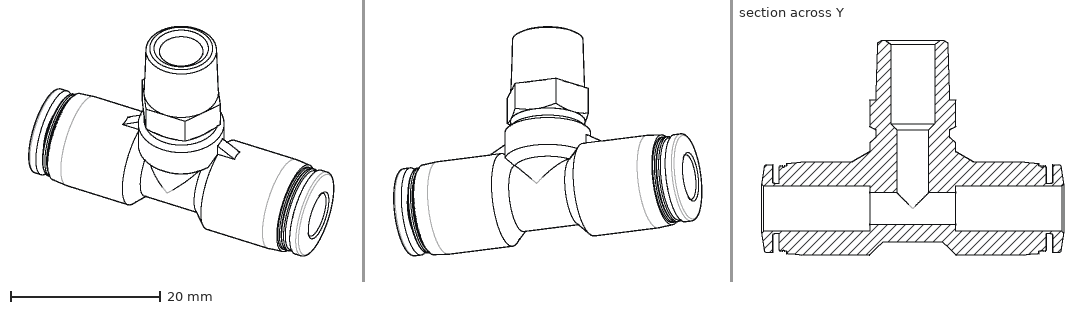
import cadquery as cq
import math

half_length = 20.25
core_radius = 4.5
core_half_length = 3.95
body_diameter = 12.5
body_radius = body_diameter / 2
body_inner_x = 5.8
body_taper_x = 14.85
body_end_x = 16.9
body_end_radius = 6.08

ridge_peak_radius = 5.75
ridge_root_radius = 5.55
ridge_valley_x = 17.3
ridge_outer_x = 17.9
ridge_bevel = 0.15

neck_radius = 3.4
neck_bevel_x = 18.5
flange_inner_x = 18.7
flange_root_radius = 3.5
flange_diameter = 11.8
flange_radius = flange_diameter / 2
flange_edge_x = 19.6
flange_face_radius = 5.63
flange_face_x = 19.9

through_radius = 2.1
socket_radius = 3.0
socket_floor_x = 5.75
mouth_radius = 3.3
mouth_bevel = mouth_radius - socket_radius

collar_radius = 5.75
collar_cone_z = 3.8
collar_base_z = 5.02
collar_shoulder_z = 8.85
collar_top_z = 9.5
stem_radius = 5.0
hex_base_z = 10.55
hex_top_z = 14.55
hex_across_corners = 11.55
hex_bevel_radius = 5.02
bevel_slope = math.tan(math.radians(30))
overall_height = 28.75
thread_top_z = overall_height - body_radius
thread_tip_radius = 4.75
tip_face_radius = 4.2
tip_bevel_height = (thread_tip_radius - tip_face_radius) * bevel_slope

branch_bore_radius = 2.9
branch_mouth_radius = 3.65
branch_mouth_depth = 0.53
branch_step_z = hex_base_z

rib_width = 1.6
rib_outer_x = 8.25
rib_outer_z = math.sqrt(body_radius**2 - (rib_width / 2) ** 2)
rib_collar_z = 7.65


def make_run_end():
    """Solid of revolution about X for the +X half of the run."""
    return (
        cq.Workplane("XY")
        .moveTo(0, 0)
        .lineTo(0, core_radius)
        .lineTo(core_half_length, core_radius)
        .lineTo(body_inner_x, body_radius)
        .lineTo(body_taper_x, body_radius)
        .lineTo(body_end_x, body_end_radius)
        .lineTo(body_end_x, ridge_peak_radius)
        .lineTo(ridge_valley_x - ridge_bevel, ridge_peak_radius)
        .lineTo(ridge_valley_x, ridge_root_radius)
        .lineTo(ridge_valley_x + ridge_bevel, ridge_peak_radius)
        .lineTo(ridge_outer_x - ridge_bevel, ridge_peak_radius)
        .lineTo(ridge_outer_x, ridge_root_radius)
        .lineTo(ridge_outer_x, neck_radius)
        .lineTo(neck_bevel_x, neck_radius)
        .lineTo(flange_inner_x, flange_root_radius)
        .lineTo(flange_inner_x, flange_radius)
        .lineTo(flange_edge_x, flange_radius)
        .tangentArcPoint((flange_face_x, flange_face_radius), relative=False)
        .lineTo(half_length, mouth_radius)
        .lineTo(half_length, 0)
        .close()
        .revolve(360, (0, 0, 0), (1, 0, 0))
    )


def make_run_bore():
    """Socket and waterway of the +X half of the run."""
    return (
        cq.Workplane("XY")
        .moveTo(0, 0)
        .lineTo(0, through_radius)
        .lineTo(socket_floor_x, through_radius)
        .lineTo(socket_floor_x, socket_radius)
        .lineTo(half_length - mouth_bevel, socket_radius)
        .lineTo(half_length, mouth_radius)
        .lineTo(half_length, 0)
        .close()
        .revolve(360, (0, 0, 0), (1, 0, 0))
    )


def revolve_about_z(profile):
    """Revolve a closed (radius, z) outline about Z."""
    return cq.Workplane("XZ").polyline(profile).close().revolve(360, (0, 0, 0), (0, 1, 0))


def make_branch():
    """Collar, stem and tapered thread body."""
    return revolve_about_z([
        (0, 0),
        (core_radius, 0),
        (core_radius, collar_cone_z),
        (collar_radius, collar_base_z),
        (collar_radius, collar_shoulder_z),
        (stem_radius, collar_top_z),
        (stem_radius, hex_top_z),
        (thread_tip_radius, thread_top_z - tip_bevel_height),
        (tip_face_radius, thread_top_z),
        (0, thread_top_z),
    ])


def make_hex():
    """Hexagon with corners on X and its lower corners bevelled."""
    corner_radius = hex_across_corners / 2
    bevel_height = (corner_radius - hex_bevel_radius) * bevel_slope
    prism = (
        cq.Workplane("XY", origin=(0, 0, hex_base_z))
        .polygon(6, hex_across_corners)
        .extrude(hex_top_z - hex_base_z)
    )
    envelope = revolve_about_z([
        (0, hex_base_z),
        (hex_bevel_radius, hex_base_z),
        (corner_radius, hex_base_z + bevel_height),
        (corner_radius, hex_top_z),
        (0, hex_top_z),
    ])
    return prism.intersect(envelope)


def make_branch_bore():
    """Stepped bore from the thread tip down to the run waterway."""
    return revolve_about_z([
        (0, 0),
        (through_radius, 0),
        (through_radius, branch_step_z),
        (branch_bore_radius, branch_step_z + branch_bore_radius - through_radius),
        (branch_bore_radius, thread_top_z - branch_mouth_depth),
        (branch_mouth_radius, thread_top_z),
        (0, thread_top_z),
    ])


def make_ribs():
    """Sloping web across the collar, rising from both bodies."""
    return (
        cq.Workplane("XZ")
        .polyline([
            (-rib_outer_x, rib_outer_z),
            (-collar_radius, rib_collar_z),
            (collar_radius, rib_collar_z),
            (rib_outer_x, rib_outer_z),
            (collar_radius, collar_base_z),
            (-collar_radius, collar_base_z),
        ])
        .close()
        .extrude(rib_width / 2, both=True)
    )


run_end = make_run_end()
run_bore = make_run_bore()
result = (
    run_end.union(run_end.mirror("YZ"))
    .union(make_branch())
    .union(make_hex())
    .union(make_ribs())
    .cut(run_bore)
    .cut(run_bore.mirror("YZ"))
    .cut(make_branch_bore())
)